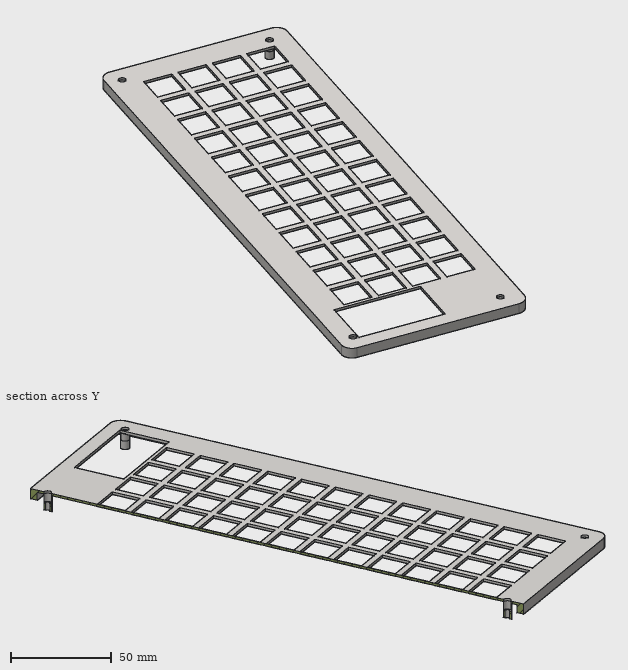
import cadquery as cq

plate_length = 278.0
plate_width = 101.5
rim_height = 5.8
rim_width = 4.0
sheet_thickness = 1.5
corner_radius = 5.8
sheet_underside = rim_height - sheet_thickness

key_columns = 12
key_rows = 4
key_size = 15.5
key_grid_length = 225.0
key_pitch = (key_grid_length - key_size) / (key_columns - 1)
keys_left = 15.3
keys_bottom = 17.2

window_length = 27.8
window_width = 47.8
window_right_margin = 8.0
window_bottom_margin = 10.8

total_height = 10.3
standoff_foot = rim_height - total_height
standoff_diameter = 4.7
head_recess_diameter = 4.0
screw_hole_diameter = 2.2
standoff_left = 9.2
standoff_right = plate_length - 9.7
standoff_bottom = 8.3
standoff_top = plate_width - 11.5
standoff_centers = [
    (x, y)
    for x in (standoff_left, standoff_right)
    for y in (standoff_bottom, standoff_top)
]


def cylinders(diameter, bottom, top):
    """One cylinder at each standoff position, between two heights."""
    return (
        cq.Workplane("XY")
        .workplane(offset=bottom)
        .pushPoints(standoff_centers)
        .circle(diameter / 2)
        .extrude(top - bottom)
    )


def make_tray():
    blank = cq.Workplane("XY").box(plate_length, plate_width, rim_height, centered=False)
    blank = blank.edges("|Z").fillet(corner_radius)
    recess = (
        cq.Workplane("XY")
        .box(plate_length - 2 * rim_width, plate_width - 2 * rim_width, sheet_underside, centered=False)
        .edges("|Z")
        .fillet(corner_radius - rim_width)
        .translate((rim_width, rim_width, 0))
    )
    return blank.cut(recess)


def cut_key_openings(body):
    first_x = keys_left + key_size / 2
    first_y = keys_bottom + key_size / 2
    centers = [
        (first_x + column * key_pitch, first_y + row * key_pitch)
        for column in range(key_columns)
        for row in range(key_rows)
    ]
    openings = cq.Workplane("XY").pushPoints(centers).rect(key_size, key_size).extrude(rim_height)
    return body.cut(openings)


def cut_window(body):
    left = plate_length - window_right_margin - window_length
    window = (
        cq.Workplane("XY")
        .box(window_length, window_width, rim_height, centered=False)
        .translate((left, window_bottom_margin, 0))
    )
    return body.cut(window)


def add_standoffs(body):
    posts = cylinders(standoff_diameter, standoff_foot, sheet_underside)
    head_recesses = cylinders(head_recess_diameter, 0, rim_height)
    screw_holes = cylinders(screw_hole_diameter, standoff_foot, rim_height)
    return body.union(posts).cut(head_recesses).cut(screw_holes)


result = add_standoffs(cut_window(cut_key_openings(make_tray())))